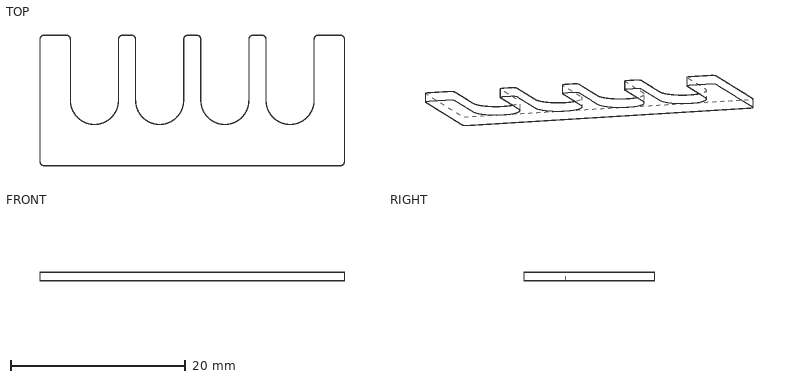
import cadquery as cq

length = 35.0
width = 15.0
thickness = 1.0
corner_radius = 0.5

slot_count = 4
slot_pitch = 7.5
slot_width = 5.5
slot_depth = 10.25
slot_radius = slot_width / 2
arc_center_y = width / 2 - slot_depth + slot_radius


def slot_cutter(center_x):
    """Solid that removes one slot, from its round bottom to the +Y edge."""
    return (
        cq.Workplane("XY")
        .moveTo(center_x - slot_radius, width / 2)
        .lineTo(center_x - slot_radius, arc_center_y)
        .threePointArc(
            (center_x, arc_center_y - slot_radius),
            (center_x + slot_radius, arc_center_y),
        )
        .lineTo(center_x + slot_radius, width / 2)
        .close()
        .extrude(thickness)
    )


result = cq.Workplane("XY").box(length, width, thickness, centered=(True, True, False))

for index in range(slot_count):
    slot_x = (index - (slot_count - 1) / 2) * slot_pitch
    result = result.cut(slot_cutter(slot_x))

plate_corners = result.edges("|Z and (<Y or >Y)")
result = plate_corners.fillet(corner_radius)